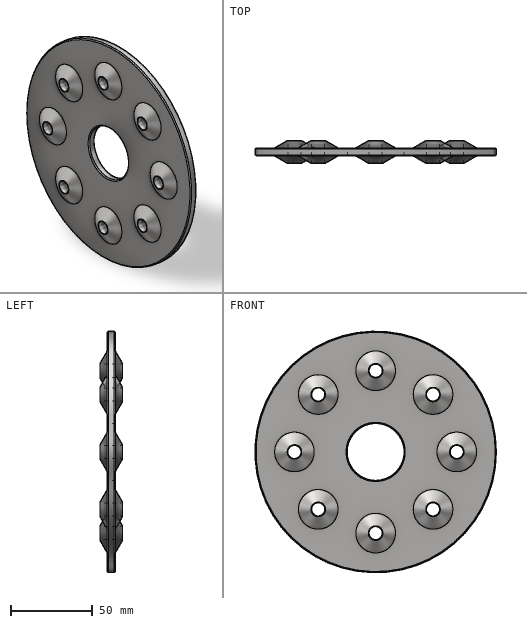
import cadquery as cq

disc_diameter = 149.0
disc_thickness = 5.0
bore_diameter = 35.0
edge_chamfer = 0.7

boss_count = 8
boss_circle_radius = 50.0
boss_base_diameter = 24.5
boss_top_diameter = 9.0
overall_thickness = 14.0
hole_diameter = 8.0

half_disc = disc_thickness / 2
half_overall = overall_thickness / 2


def make_disc():
    """Flat ring with chamfered outer and bore edges."""
    ring = (
        cq.Workplane("XZ", origin=(0, half_disc, 0))
        .circle(disc_diameter / 2)
        .circle(bore_diameter / 2)
        .extrude(disc_thickness)
    )
    return ring.faces("<Y or >Y").edges().chamfer(edge_chamfer)


def make_double_cone():
    """Boss on the Y axis, tapering away from both disc faces."""
    return (
        cq.Workplane("XY")
        .moveTo(0, -half_overall)
        .lineTo(boss_top_diameter / 2, -half_overall)
        .lineTo(boss_base_diameter / 2, -half_disc)
        .lineTo(boss_base_diameter / 2, half_disc)
        .lineTo(boss_top_diameter / 2, half_overall)
        .lineTo(0, half_overall)
        .close()
        .revolve(360, (0, 0, 0), (0, 1, 0))
    )


def make_hole_cutter():
    """Through hole on the Y axis."""
    return cq.Workplane("XZ", origin=(0, half_overall, 0)).circle(hole_diameter / 2).extrude(overall_thickness)


boss = make_double_cone()
hole = make_hole_cutter()
result = make_disc()

for index in range(boss_count):
    angle = index * 360 / boss_count
    offset = (boss_circle_radius, 0, 0)
    placed_boss = boss.translate(offset).rotate((0, 0, 0), (0, 1, 0), angle)
    placed_hole = hole.translate(offset).rotate((0, 0, 0), (0, 1, 0), angle)
    result = result.union(placed_boss).cut(placed_hole)